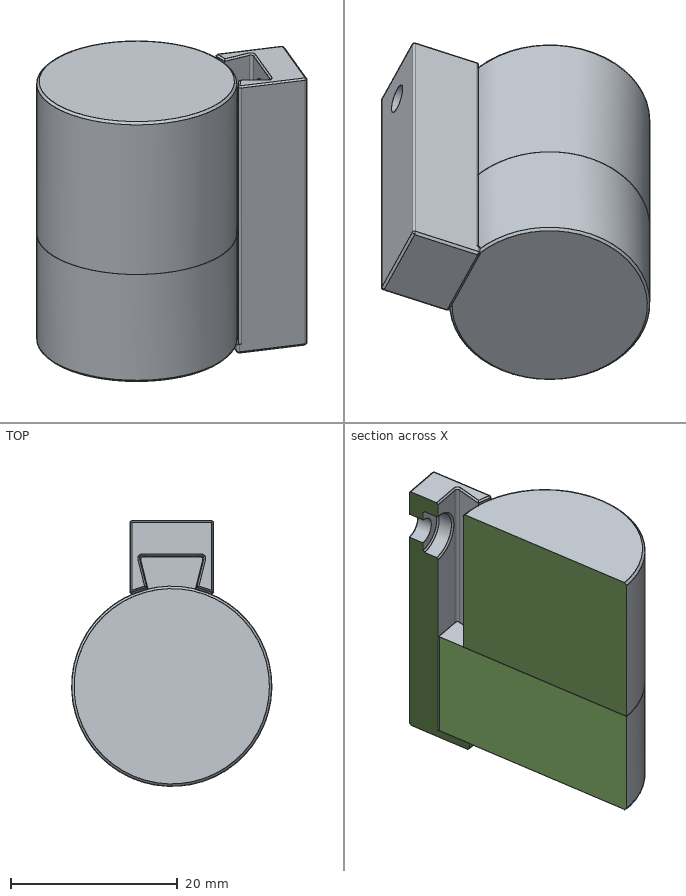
import cadquery as cq
import math

total_height = 35.2
lid_height = 20.0
body_diameter = 24.0
body_radius = body_diameter / 2
rim_chamfer = 0.3
joint_z = total_height - lid_height

lip_height = 1.0
foot_top_z = lip_height + rim_chamfer
block_width = 10.0
block_front_y = 11.05
block_back_y = 19.85
block_fillet = 0.3
foot_chamfer = 0.3
top_chamfer = 0.2

saddle_clearance = 0.2
saddle_radius = body_radius + saddle_clearance

slot_back_y = 15.63
slot_back_width = 7.9
flank_angle = 14.0
slot_corner_radius = 0.3
rail_clearance = 0.1

screw_diameter = 3.4
screw_head_diameter = 6.1
counterbore_depth = 2.2
counterbore_chamfer = 0.2
screw_depth_from_top = 5.2
screw_z = total_height - screw_depth_from_top


def make_dovetail(back_y, back_width, front_y, top_z):
    """Upright prism standing on the lip, narrowing from its rounded back to its front."""
    back_half = back_width / 2
    front_half = back_half - (back_y - front_y) * math.tan(math.radians(flank_angle))
    return (
        cq.Workplane("XY", origin=(0, 0, lip_height))
        .polyline([
            (-back_half, back_y),
            (back_half, back_y),
            (front_half, front_y),
            (-front_half, front_y),
        ])
        .close()
        .extrude(top_z - lip_height)
        .edges("|Z and >Y")
        .fillet(slot_corner_radius)
    )


def make_lower_cylinder(radius, top_z):
    """Cylinder standing on the lip, chamfered round its bottom edge."""
    return (
        cq.Workplane("XY", origin=(0, 0, lip_height))
        .circle(radius)
        .extrude(top_z - lip_height)
        .faces("<Z")
        .chamfer(rim_chamfer)
    )


def make_cup():
    """Lower cylinder with the dovetail rail up its back."""
    flank = math.radians(flank_angle)
    corner_inset = rail_clearance * (1 / math.cos(flank) + math.tan(flank))
    rail = make_dovetail(
        slot_back_y - rail_clearance,
        slot_back_width - 2 * corner_inset,
        block_front_y,
        joint_z,
    )
    return make_lower_cylinder(body_radius, joint_z).union(rail)


def make_lid():
    """Upper cylinder, chamfered round its top edge."""
    return (
        cq.Workplane("XY", origin=(0, 0, joint_z))
        .circle(body_radius)
        .extrude(lid_height)
        .faces(">Z")
        .chamfer(rim_chamfer)
    )


def make_screw_hole():
    """Through hole along Y with a counterbore opening into the slot, chamfered at mouth and floor."""
    head_radius = screw_head_diameter / 2
    shank_radius = screw_diameter / 2
    floor_y = slot_back_y + counterbore_depth
    return (
        cq.Workplane("XY", origin=(0, 0, screw_z))
        .polyline([
            (0, slot_back_y),
            (head_radius + counterbore_chamfer, slot_back_y),
            (head_radius, slot_back_y + counterbore_chamfer),
            (head_radius, floor_y - counterbore_chamfer),
            (head_radius - counterbore_chamfer, floor_y),
            (shank_radius, floor_y),
            (shank_radius, block_back_y),
            (0, block_back_y),
        ])
        .close()
        .revolve(360, (0, 0, 0), (0, 1, 0))
    )


def make_block_slab(bottom_z, top_z):
    """Square-edged slice of the mount block between two heights."""
    return (
        cq.Workplane("XY", origin=(0, (block_front_y + block_back_y) / 2, bottom_z))
        .rect(block_width, block_back_y - block_front_y)
        .extrude(top_z - bottom_z)
    )


def make_block():
    """Mount block with a saddle, a dovetail slot, a screw hole and eased outer edges."""
    saddle = make_lower_cylinder(saddle_radius, total_height)
    foot = (
        make_block_slab(0, foot_top_z)
        .edges("|Z")
        .fillet(block_fillet)
        .faces("<Z")
        .chamfer(foot_chamfer)
        .cut(saddle)
    )
    upright = (
        make_block_slab(foot_top_z, total_height)
        .cut(saddle)
        .edges("|Z")
        .fillet(block_fillet)
    )
    slot = make_dovetail(slot_back_y, slot_back_width, block_front_y, total_height)
    return (
        foot.union(upright)
        .cut(slot)
        .faces(">Z")
        .chamfer(top_chamfer)
        .cut(make_screw_hole())
    )


cup = make_cup()
lid = make_lid()
block = make_block()

result = cq.Compound.makeCompound([cup.val(), lid.val(), block.val()])